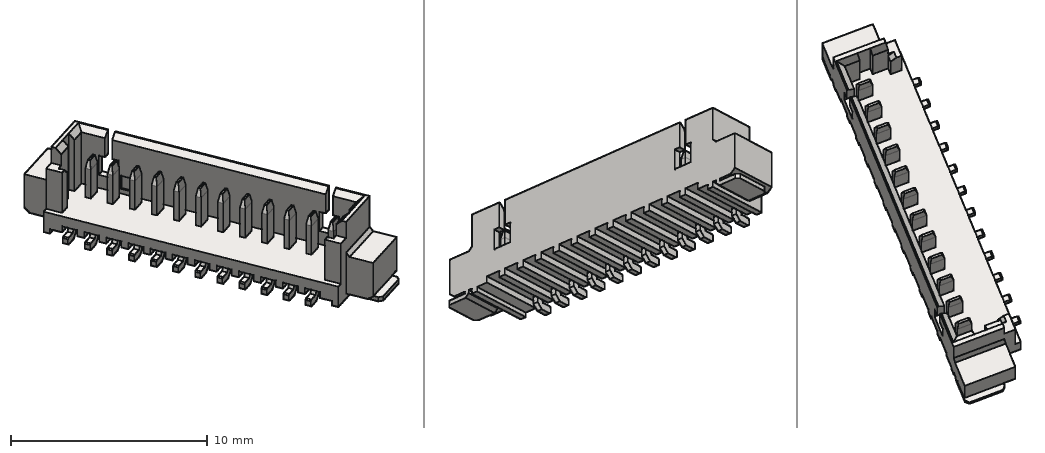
import cadquery as cq


overall_length = 20.15
overall_depth = 4.2
overall_height = 4.7

join_overlap = 0.1

housing_half = 8.35
cavity_half = 7.78
base_depth = 3.69
end_wall_depth = 2.78
rear_wall = 0.4
floor_bottom = 0.7
floor_top = 1.3
rib_bottom = 0.35
foot_bottom = 0.08
foot_width = 0.36
rim_drop = 0.3
rear_rim = 0.08
end_rim = 0.25

post_depth = 3.39
post_top = 3.73
post_inner = 7.44
post_bevel = 0.32

groove_back = 1.23
groove_front = 1.93

slot_width = 0.4
slot_bottom = 3.25
window_width = 1.1
window_bottom = 2.1
recess_right = -4.63
recess_width = 0.9
recess_bottom = 1.6
recess_height = 0.79
recess_depth = 0.1

pin_count = 12
pitch = 1.25
pin_width = 0.3
pin_back = 0.73
pin_front = 1.51
pin_shoulder = 3.06
pin_top = 3.53
pin_tip_width = 0.12
pin_tip_inset = 0.1
lead_notch_width = 0.85
lead_height = 0.42
lead_heel = 3.5
lead_shoulder = 3.63
lead_rise_run = 0.18
lead_tip_chamfer = 0.08
lead_tip_drop = 0.06
lead_bend = 0.3

wing_half = 9.87
wing_bottom = 0.38
wing_top = 2.64
wing_corner_width = 0.3
wing_corner_height = 0.25
wing_web = 0.2
tab_depth = 2.2
tab_thickness = 0.26
tab_corner = 0.18
tab_stem_inner = 8.56
tab_stem_width = 0.26
tab_bend = 0.2

pin_positions = [(i - (pin_count - 1) / 2) * pitch for i in range(pin_count)]


def block(x_min, x_max, back, front, z_min, z_max):
    """Box between two X values, two depths behind the rear plane and two heights."""
    size = (x_max - x_min, front - back, z_max - z_min)
    return cq.Workplane("XY").box(*size, centered=False).translate((x_min, -front, z_min))


def front_prism(points, back, front):
    """Prism with an (X, Z) outline, running between two depths."""
    return cq.Workplane("XZ").polyline(points).close().extrude(front - back).translate((0, -back, 0))


def side_prism(points, x_min, x_max):
    """Prism with a (depth, Z) outline, running between two X values."""
    outline = [(-depth, z) for depth, z in points]
    return cq.Workplane("YZ").polyline(outline).close().extrude(x_max - x_min).translate((x_min, 0, 0))


def both_ends(right_end):
    """Feature of the right end together with its mirror image at the left end."""
    return right_end.union(right_end.mirror("YZ"))


def base():
    body = block(-housing_half, housing_half, 0, base_depth, rib_bottom, floor_top)
    for x in pin_positions:
        half = lead_notch_width / 2
        body = body.cut(block(x - half, x + half, 0, base_depth, rib_bottom, floor_bottom))
    foot = block(housing_half - foot_width, housing_half, 0, base_depth, foot_bottom, floor_top)
    return body.union(both_ends(foot))


def rear_wall_solid():
    rim_start = overall_height - rim_drop
    outline = [
        (0, floor_bottom),
        (0, overall_height),
        (rear_rim, overall_height),
        (rear_wall, rim_start),
        (rear_wall, floor_bottom),
    ]
    wall = side_prism(outline, -housing_half, housing_half)
    x = pin_positions[-1] - pitch / 2
    slot = block(x - slot_width / 2, x + slot_width / 2, 0, rear_wall, window_bottom, overall_height)
    window = block(x - window_width / 2, x + window_width / 2, 0, rear_wall, window_bottom, slot_bottom)
    recess = block(
        recess_right - recess_width,
        recess_right,
        rear_wall - recess_depth,
        rear_wall,
        recess_bottom,
        recess_bottom + recess_height,
    )
    return wall.cut(both_ends(slot.union(window))).cut(recess)


def right_end_wall():
    rim_inner = housing_half - end_rim
    outline = [
        (housing_half, floor_bottom),
        (housing_half, overall_height),
        (rim_inner, overall_height),
        (cavity_half, overall_height - rim_drop),
        (cavity_half, floor_bottom),
    ]
    wall = front_prism(outline, 0, end_wall_depth)
    groove = block(cavity_half, rim_inner, groove_back, groove_front, floor_top, overall_height)
    return wall.cut(groove)


def right_post():
    post = block(post_inner, housing_half, end_wall_depth, post_depth, floor_bottom, post_top)
    bevel = [
        (end_wall_depth, post_top),
        (end_wall_depth + post_bevel, post_top),
        (end_wall_depth, post_top - post_bevel),
    ]
    return post.cut(side_prism(bevel, post_inner, cavity_half))


def right_wing():
    outline = [
        (housing_half, wing_bottom),
        (wing_half - wing_corner_width, wing_bottom),
        (wing_half, wing_bottom + wing_corner_height),
        (wing_half, wing_top),
        (housing_half + wing_web, wing_top),
        (housing_half, wing_top + wing_web),
    ]
    return front_prism(outline, 0, end_wall_depth)


def right_tab():
    tab_end = overall_length / 2
    stem_top = wing_bottom + join_overlap
    stem_outer = tab_stem_inner + tab_stem_width
    outline = [
        (tab_end, 0),
        (tab_end, tab_thickness),
        (stem_outer, tab_thickness),
        (stem_outer, stem_top),
        (tab_stem_inner, stem_top),
        (tab_stem_inner, tab_bend),
        (tab_stem_inner + tab_bend, 0),
    ]
    return front_prism(outline, 0, tab_depth).edges(">X and |Z").chamfer(tab_corner)


def pin(x):
    half = pin_width / 2
    shaft = block(x - half, x + half, pin_back, pin_front, floor_bottom, pin_shoulder)
    tip = (
        cq.Workplane("XY", origin=(x, -(pin_back + pin_front) / 2, pin_shoulder))
        .rect(pin_width, pin_front - pin_back)
        .workplane(offset=pin_top - pin_shoulder)
        .rect(pin_tip_width, pin_front - pin_back - 2 * pin_tip_inset)
        .loft()
    )
    return shaft.union(tip)


def lead(x):
    root = floor_bottom + join_overlap
    outline = [
        (lead_heel, 0),
        (overall_depth - lead_tip_chamfer, 0),
        (overall_depth, lead_tip_drop),
        (overall_depth, lead_height - lead_tip_drop),
        (overall_depth - lead_tip_chamfer, lead_height),
        (lead_shoulder, lead_height),
        (lead_shoulder - lead_rise_run, root),
        (lead_heel - lead_bend, root),
        (lead_heel - lead_bend, lead_bend),
    ]
    return side_prism(outline, x - pin_width / 2, x + pin_width / 2)


result = base().union(rear_wall_solid())
for right_feature in (right_end_wall(), right_post(), right_wing(), right_tab()):
    result = result.union(both_ends(right_feature))
for pin_x in pin_positions:
    result = result.union(pin(pin_x)).union(lead(pin_x))